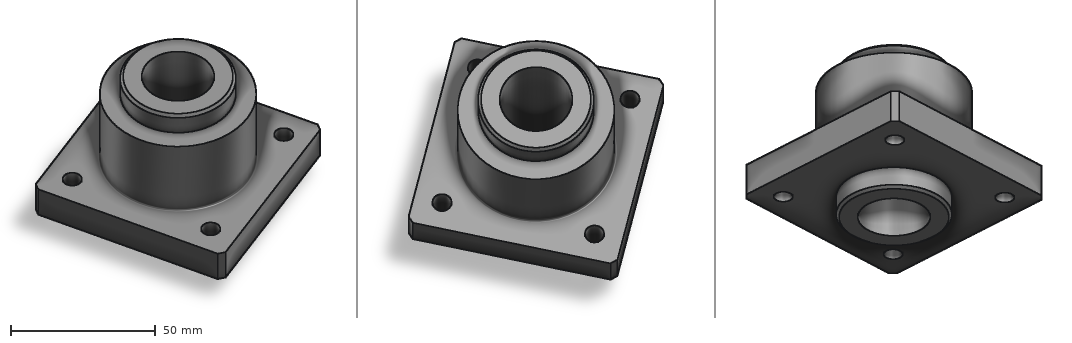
import cadquery as cq

flange_side = 74.0
flange_thickness = 12.0
corner_chamfer = 2.0
bolt_spacing = 54.0
bolt_hole_diameter = 6.6

housing_diameter = 54.0
housing_height = 30.0
root_fillet = 0.95

sleeve_diameter = 39.95
sleeve_length = 58.0
sleeve_chamfer = 1.0
bore_diameter = 25.0

sleeve_overhang = (sleeve_length - flange_thickness - housing_height) / 2
flange_top = sleeve_overhang + flange_thickness


def make_flange():
    return (
        cq.Workplane("XY")
        .workplane(offset=sleeve_overhang)
        .rect(flange_side, flange_side)
        .extrude(flange_thickness)
        .edges("|Z")
        .chamfer(corner_chamfer)
    )


def make_housing():
    """Cylinder with a concave fillet flaring out at its foot."""
    radius = housing_diameter / 2
    profile = (
        cq.Workplane("XZ")
        .moveTo(0, flange_top)
        .lineTo(radius + root_fillet, flange_top)
        .radiusArc((radius, flange_top + root_fillet), root_fillet)
        .lineTo(radius, flange_top + housing_height)
        .lineTo(0, flange_top + housing_height)
        .close()
    )
    return profile.revolve(360, (0, 0, 0), (0, 1, 0))


def make_sleeve():
    return (
        cq.Workplane("XY")
        .circle(sleeve_diameter / 2)
        .extrude(sleeve_length)
        .faces("<Z or >Z")
        .edges()
        .chamfer(sleeve_chamfer)
    )


def make_holes():
    """Central bore and the four bolt holes, all passing through."""
    bore = cq.Workplane("XY").circle(bore_diameter / 2).extrude(sleeve_length)
    bolt_holes = (
        cq.Workplane("XY")
        .rect(bolt_spacing, bolt_spacing, forConstruction=True)
        .vertices()
        .circle(bolt_hole_diameter / 2)
        .extrude(sleeve_length)
    )
    return bore.union(bolt_holes)


result = make_flange().union(make_housing()).union(make_sleeve()).cut(make_holes())